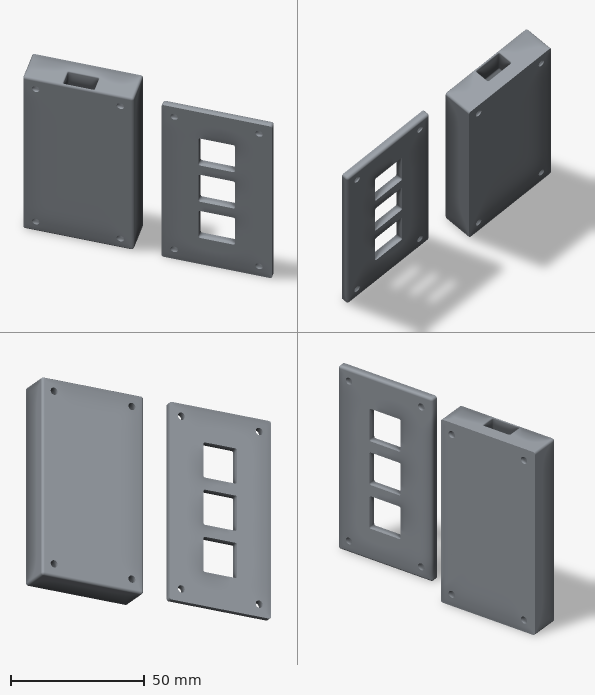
import cadquery as cq

total_width = 97.0
plate_width = 43.1
plate_height = 79.6
edge_radius = 1.0
housing_x = plate_width / 2
cover_x = total_width - plate_width / 2

screw_diameter = 2.9
screw_inset = 5.0

housing_depth = 13.0

port_width = 12.1
port_front = 1.0
port_rear = 7.5
ledge_rear = 3.1
port_radius = 0.5
ledge_depth = 2 * screw_inset
port_depth = plate_height - ledge_depth

cover_thickness = 3.0
window_size = 14.2
window_pitch = 19.0
window_count = 3
window_radius = 0.7


def upright_plate(center_x, depth):
    """Plate from Y = 0 to Y = depth with rounded corners in the XZ plane."""
    return (
        cq.Workplane("XY")
        .box(plate_width, depth, plate_height, centered=(True, False, True))
        .edges("|Y")
        .fillet(edge_radius)
        .translate((center_x, 0, 0))
    )


def screw_holes(center_x, depth):
    """Four cylinders along Y, one near each corner of a plate."""
    return (
        cq.Workplane("XZ", origin=(center_x, 0, 0))
        .rect(plate_width - 2 * screw_inset, plate_height - 2 * screw_inset, forConstruction=True)
        .vertices()
        .circle(screw_diameter / 2)
        .extrude(-depth)
    )


def port_pocket(front, rear, depth):
    """Pocket tool reaching down from the top side of the housing."""
    return (
        cq.Workplane("XY", origin=(housing_x, 0, plate_height / 2 - depth))
        .box(port_width, rear - front, depth, centered=(True, False, False))
        .translate((0, front, 0))
    )


def port_block():
    """Sharp-edged block of the housing's size, holding the port with its rounded mouth."""
    ledge_part = port_pocket(port_front, port_rear, ledge_depth).edges("|Z or <Z").fillet(port_radius)
    deep_part = (
        port_pocket(port_front, port_rear, port_depth)
        .edges("|Z")
        .fillet(port_radius)
        .intersect(port_pocket(ledge_rear, port_rear, port_depth))
    )
    block = (
        cq.Workplane("XY")
        .box(plate_width, housing_depth, plate_height, centered=(True, False, True))
        .translate((housing_x, 0, 0))
        .cut(ledge_part.union(deep_part))
    )
    mouth = cq.Workplane(block.faces(">Z").val().innerWires()[0])
    return block.newObject(mouth.edges().vals()).fillet(port_radius)


def make_housing():
    """Rounded plate with the port in its top side and four screw holes."""
    rounded = upright_plate(housing_x, housing_depth).faces("<Y").edges().fillet(edge_radius)
    return rounded.intersect(port_block()).cut(screw_holes(housing_x, housing_depth))


def make_cover():
    """Thin plate with rounded rear edges, a column of square windows and four screw holes."""
    windows = (
        cq.Workplane("XZ", origin=(cover_x, 0, 0))
        .rarray(1, window_pitch, 1, window_count)
        .rect(window_size, window_size)
        .extrude(-cover_thickness)
        .edges("|Y")
        .fillet(window_radius)
    )
    plate = upright_plate(cover_x, cover_thickness).faces(">Y").edges().fillet(edge_radius)
    return plate.cut(windows).cut(screw_holes(cover_x, cover_thickness))


housing = make_housing()
cover = make_cover()

result = cq.Compound.makeCompound([housing.val(), cover.val()])